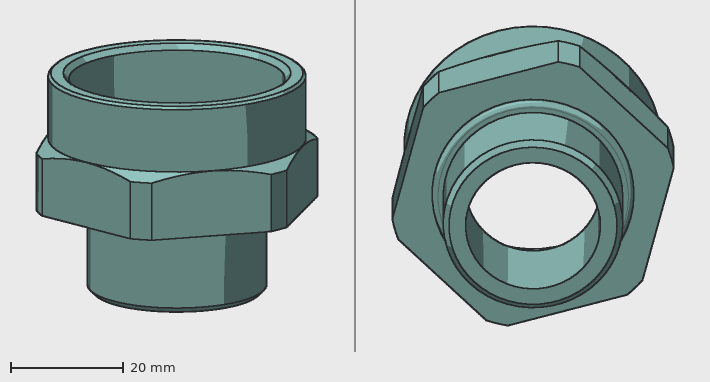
import cadquery as cq
import math

total_height = 40.0
hex_bottom = 16.0
hex_top = 28.0

across_flats = 46.0
across_corners = 51.0
hex_chamfer_angle = 30.0

collar_radius = 22.95
collar_chamfer = 0.5
spigot_radius = 15.95
spigot_chamfer = 1.0

socket_depth = 20.0
socket_mouth_radius = 19.25
socket_taper = 1 / 16
socket_chamfer = 1.0
bore_radius = 12.0
bore_chamfer = 1.0

ring_radius = 17.95
ring_thickness = 1.35
ring_rounding = 1.0


def cylinder(radius, bottom, top):
    return cq.Workplane("XY").workplane(offset=bottom).circle(radius).extrude(top - bottom)


def make_hexagon():
    """Hexagon with two corners on the Y axis, rounded corners and a conical top chamfer."""
    sharp_corner_diameter = across_flats / math.cos(math.radians(30))
    prism = (
        cq.Workplane("XY")
        .workplane(offset=hex_bottom)
        .polygon(6, sharp_corner_diameter)
        .extrude(hex_top - hex_bottom)
        .rotate((0, 0, 0), (0, 0, 1), 30)
    )
    corner_radius = across_corners / 2
    chamfer_drop = (corner_radius - collar_radius) * math.tan(math.radians(hex_chamfer_angle))
    envelope = (
        cq.Workplane("XZ")
        .moveTo(0, hex_bottom)
        .lineTo(corner_radius, hex_bottom)
        .lineTo(corner_radius, hex_top - chamfer_drop)
        .lineTo(collar_radius, hex_top)
        .lineTo(0, hex_top)
        .close()
        .revolve()
    )
    return prism.intersect(envelope)


def make_cavity():
    """Chamfered tapered socket, opening into a chamfered through bore."""
    floor = total_height - socket_depth
    taper_length = socket_depth - socket_chamfer
    floor_radius = socket_mouth_radius - taper_length * socket_taper / 2
    return (
        cq.Workplane("XZ")
        .lineTo(bore_radius, 0)
        .lineTo(bore_radius, floor - bore_chamfer)
        .lineTo(bore_radius + bore_chamfer, floor)
        .lineTo(floor_radius, floor)
        .lineTo(socket_mouth_radius, total_height - socket_chamfer)
        .lineTo(socket_mouth_radius + socket_chamfer, total_height)
        .lineTo(0, total_height)
        .close()
        .revolve()
    )


def make_housing():
    collar = cylinder(collar_radius, hex_top, total_height).faces(">Z").chamfer(collar_chamfer)
    spigot = cylinder(spigot_radius, 0, hex_bottom).faces("<Z").chamfer(spigot_chamfer)
    return make_hexagon().union(collar).union(spigot).cut(make_cavity())


def make_sealing_ring():
    """Flat ring around the spigot with a rounded lower outer edge."""
    ring_bottom = hex_bottom - ring_thickness
    disc = cylinder(ring_radius, ring_bottom, hex_bottom).faces("<Z").edges().fillet(ring_rounding)
    return disc.cut(cylinder(spigot_radius, ring_bottom, hex_bottom))


housing = make_housing()
sealing_ring = make_sealing_ring()

result = cq.Compound.makeCompound([housing.val(), sealing_ring.val()])